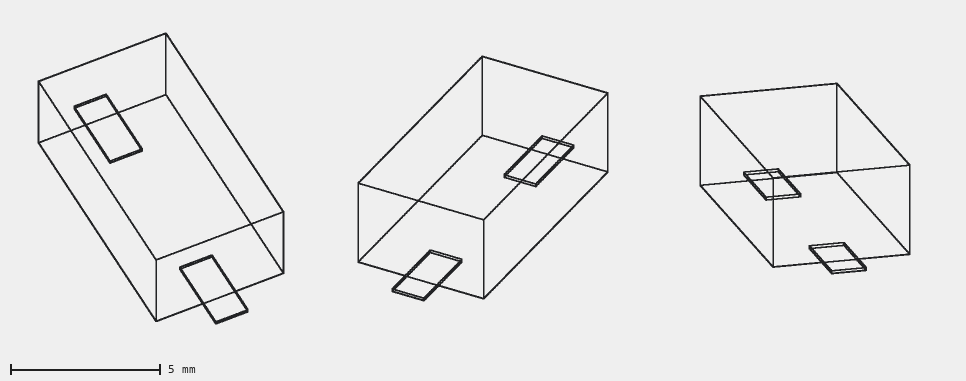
import cadquery as cq

overall_length = 10.61
overall_height = 3.25

housing_length = 8.8
housing_width = 4.75

lead_length = 2.7
lead_width = 1.2
lead_thickness = 0.1

housing_height = overall_height - lead_thickness
lead_center_x = (overall_length - lead_length) / 2


def make_housing():
    """Plain block whose underside lies on Z = 0, resting on the leads."""
    return cq.Workplane("XY").box(
        housing_length, housing_width, housing_height, centered=(True, True, False)
    )


def make_lead(side):
    """Flat strip below the housing; side is -1 for the -X end and +1 for the +X end."""
    return (
        cq.Workplane("XY")
        .box(lead_length, lead_width, lead_thickness, centered=(True, True, False))
        .translate((side * lead_center_x, 0, -lead_thickness))
    )


housing = make_housing()
leads = [make_lead(side) for side in (-1, 1)]

result = cq.Compound.makeCompound([housing.val(), *[lead.val() for lead in leads]])